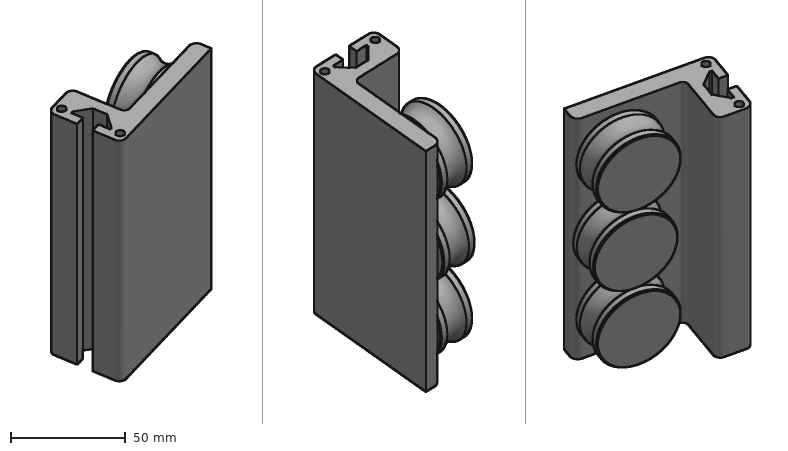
import cadquery as cq

rail_length = 140.0
rail_width = 38.0
rail_height = 73.2
wall_thickness = 9.1
foot_height = 18.0
outer_radius = 3.5
tip_radius = 3.9
inner_radius = 2.8

slot_mouth_width = 8.0
slot_lip_height = 4.8
slot_cavity_width = 19.7
slot_shoulder_height = 6.0
slot_roof_width = 7.4
slot_roof_height = 12.3

screw_hole_diameter = 4.0
screw_hole_inset = 3.9
screw_hole_height = 4.9

roller_diameter = 42.0
roller_width = 19.2
roller_gap = 0.4
roller_chamfer = 0.5
groove_width = 11.5
groove_depth = 2.0
roller_pitch = 45.1
outer_roller_y = 51.7
middle_roller_y = 53.2

wall_x = rail_width - wall_thickness
slot_x = rail_width / 2


def make_slot():
    """T-slot cutter with sloped shoulders, open at the bottom of the foot."""
    right_side = [
        (slot_mouth_width / 2, 0),
        (slot_mouth_width / 2, slot_lip_height),
        (slot_cavity_width / 2, slot_lip_height),
        (slot_cavity_width / 2, slot_shoulder_height),
        (slot_roof_width / 2, slot_roof_height),
    ]
    left_side = [(-x, y) for x, y in reversed(right_side)]
    profile = cq.Workplane("XY").polyline(right_side + left_side).close()
    return profile.extrude(rail_length).translate((slot_x, 0, 0))


def make_rail():
    """L-shaped rail with rounded edges, T-slot and two lengthwise screw holes."""
    foot = cq.Workplane("XY").box(rail_width, foot_height, rail_length, centered=False)
    wall = (
        cq.Workplane("XY")
        .box(wall_thickness, rail_height, rail_length, centered=False)
        .translate((wall_x, 0, 0))
    )
    mid_z = rail_length / 2
    body = foot.union(wall)
    for x, y, radius in [
        (0, 0, outer_radius),
        (rail_width, 0, outer_radius),
        (0, foot_height, outer_radius),
        (wall_x, foot_height, inner_radius),
        (wall_x, rail_height, tip_radius),
    ]:
        body = body.edges(cq.NearestToPointSelector((x, y, mid_z))).fillet(radius)

    screw_holes = (
        cq.Workplane("XY")
        .pushPoints([
            (screw_hole_inset, screw_hole_height),
            (rail_width - screw_hole_inset, screw_hole_height),
        ])
        .circle(screw_hole_diameter / 2)
        .extrude(rail_length)
    )
    return body.cut(make_slot()).cut(screw_holes)


def make_roller(center_y, center_z):
    """Roller with chamfered rims and a round groove, beside the inner wall face."""
    radius = roller_diameter / 2
    half_width = roller_width / 2
    half_groove = groove_width / 2
    roller = (
        cq.Workplane("XY")
        .moveTo(-half_width, 0)
        .lineTo(-half_width, radius - roller_chamfer)
        .lineTo(-half_width + roller_chamfer, radius)
        .lineTo(-half_groove, radius)
        .threePointArc((0, radius - groove_depth), (half_groove, radius))
        .lineTo(half_width - roller_chamfer, radius)
        .lineTo(half_width, radius - roller_chamfer)
        .lineTo(half_width, 0)
        .close()
        .revolve(360, (0, 0, 0), (1, 0, 0))
    )
    center_x = wall_x - roller_gap - half_width
    return roller.translate((center_x, center_y, center_z))


rail = make_rail()

rollers = []
for step, roller_y in [(-1, outer_roller_y), (0, middle_roller_y), (1, outer_roller_y)]:
    roller_z = rail_length / 2 + step * roller_pitch
    rollers.append(make_roller(roller_y, roller_z).val())

result = cq.Compound.makeCompound([rail.val(), *rollers])